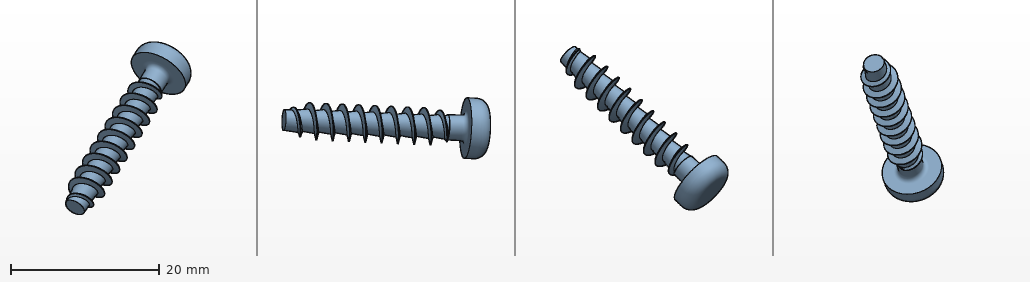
import cadquery as cq
import math

total_length = 27.9
head_height = 2.9
head_radius = 4.1
head_rounding = 1.62
tip_y = head_height - total_length

neck_radius = 1.73
neck_length = 2.5
neck_fillet = 0.67

core_radius = 1.42
ledge_radius = 1.65
crest_radius = 2.5
pitch = 2.242
crest_half_width = 0.05
root_half_width = 0.3
points_per_turn = 24

crest_y_at_plus_x = -3.12
turns_above = 2
turn_count = 13
first_crest_y = crest_y_at_plus_x + turns_above * pitch

full_height_start_y = -4.52
full_height_end_y = -21.78
lead_in_slope = 0.27
run_out_slope = 0.36
ledge_lead_in_end_y = -2.05
ledge_lead_in_slope = 0.4
ledge_run_out_start_y = -22.3
ledge_run_out_slope = 0.15


def make_head_and_neck():
    """Head, fillet and plain neck as one revolved outline."""
    fillet_center_x = neck_radius + neck_fillet
    fillet_reach = neck_fillet * math.sqrt(0.5)
    rounding_reach = head_rounding * math.sqrt(0.5)
    rounding_x = head_radius - head_rounding
    rounding_y = head_height - head_rounding
    return (
        cq.Workplane("XY")
        .moveTo(0, -neck_length)
        .lineTo(neck_radius, -neck_length)
        .lineTo(neck_radius, -neck_fillet)
        .threePointArc(
            (fillet_center_x - fillet_reach, fillet_reach - neck_fillet),
            (fillet_center_x, 0),
        )
        .lineTo(head_radius, 0)
        .lineTo(head_radius, rounding_y)
        .threePointArc(
            (rounding_x + rounding_reach, rounding_y + rounding_reach),
            (rounding_x, head_height),
        )
        .lineTo(0, head_height)
        .close()
        .revolve(360, (0, 0, 0), (0, 1, 0))
    )


def thread_section(crest_y):
    """Corners (radius, offset along Y) of the thread, for a crest at crest_y."""
    ledge_lead_in = ledge_lead_in_slope * max(0, crest_y - ledge_lead_in_end_y)
    ledge_run_out = ledge_run_out_slope * max(0, ledge_run_out_start_y - crest_y)
    ledge = max(core_radius, ledge_radius + ledge_lead_in - ledge_run_out)
    lead_in = lead_in_slope * max(0, crest_y - full_height_start_y)
    run_out = run_out_slope * max(0, full_height_end_y - crest_y)
    crest = max(ledge, crest_radius - lead_in - run_out)
    return [
        (core_radius, root_half_width),
        (crest, crest_half_width),
        (crest, -crest_half_width),
        (ledge, -root_half_width),
    ]


def section_points(turn):
    """Section corners after the given number of turns, followed by the next turn's root."""
    angle = 2 * math.pi * (turn - turns_above)
    crest_y = first_crest_y - turn * pitch
    corners = thread_section(crest_y)
    corners.append((core_radius, root_half_width - pitch))
    return [
        cq.Vector(radius * math.cos(angle), crest_y + offset, radius * math.sin(angle))
        for radius, offset in corners
    ]


def turn_helices(turn):
    """One full turn of the helix through each section corner, including the next turn's root."""
    sections = [section_points(turn + i / points_per_turn) for i in range(points_per_turn + 1)]
    return [cq.Edge.makeSpline(list(corner)) for corner in zip(*sections)]


def make_end_faces(turn, root_helix):
    """Close the screw at a turn: a helicoid from the axis to the root, and a radial face."""
    section = section_points(turn)
    axis_points = [cq.Vector(0, section[i].y, 0) for i in (0, -1)]
    helicoid = cq.Face.makeRuledSurface(cq.Edge.makeLine(*axis_points), root_helix)
    outline = cq.Wire.makePolygon([axis_points[0], *section, axis_points[1]], close=True)
    return [helicoid, cq.Face.makeFromWires(outline)]


def make_threaded_shank():
    """Core and thread as one closed shell of ruled faces, trimmed flat at neck and tip."""
    faces = []
    for turn in range(turn_count):
        helices = turn_helices(turn)
        faces += [cq.Face.makeRuledSurface(*pair) for pair in zip(helices, helices[1:])]
    faces += make_end_faces(0, turn_helices(0)[0])
    faces += make_end_faces(turn_count, turn_helices(turn_count)[0])
    screw = cq.Solid.makeSolid(cq.Shell.makeShell(faces)).fix()
    limits = (
        cq.Workplane("XZ", origin=(0, -neck_length, 0))
        .circle(head_radius)
        .extrude(-tip_y - neck_length)
    )
    return limits.intersect(cq.Workplane(obj=screw))


result = make_head_and_neck().union(make_threaded_shank())